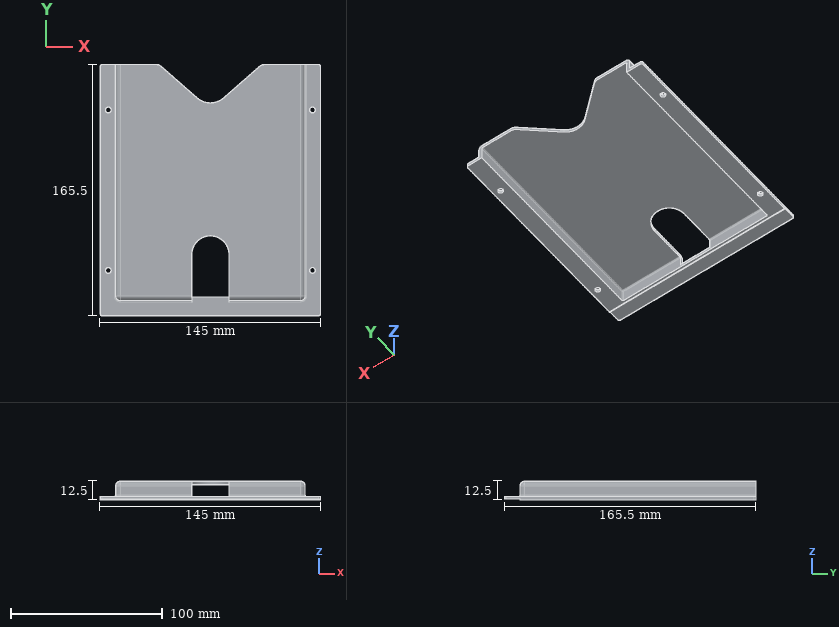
import cadquery as cq

width = 145.0
length = 165.5
height = 12.5
sheet = 2.5

flange_width = 10.1
flange_corner_radius = 1.3
bend_radius = 3.1
inner_bend_radius = bend_radius - sheet
foot_radius = 0.8
front_relief_depth = 0.7

hole_diameter = 3.6
hole_edge_offset = 5.3
hole_end_offset = 30.0

slot_width = 24.3
slot_end = 52.6

notch_half_width = 33.8
notch_apex_depth = 29.6
notch_tip_radius = 13.2
notch_mouth_radius = 5.0

pocket_width = width - 2 * flange_width
cavity_width = pocket_width - 2 * sheet
cavity_front = flange_width + sheet


def rounded_block(block_width, front, top, radius):
    """Block open to the rear edge, rounded on its front and side edges."""
    block = cq.Workplane("XY").box(block_width, length - front, top, centered=(True, False, False))
    block = block.translate((0, front, 0))
    return block.edges("(|Z and <Y) or (>Z and (not >Y))").fillet(radius)


def make_flange():
    plate = cq.Workplane("XY").box(width, length, sheet, centered=(True, False, False))
    return plate.edges("|Z").fillet(flange_corner_radius)


def round_foot(body):
    """Blend the outside of the pocket walls into the flange."""
    half = pocket_width / 2
    margin = foot_radius / 2
    selector = cq.selectors.BoxSelector(
        (-half - margin, flange_width - margin, sheet - margin),
        (half + margin, length + margin, sheet + margin),
    )
    return body.edges(selector).fillet(foot_radius)


def make_front_relief():
    """Shallow step under the front flange, up to the front wall."""
    return cq.Workplane("XY").box(width, flange_width, front_relief_depth, centered=(True, False, False))


def make_slot():
    radius = slot_width / 2
    arc_start = slot_end - radius
    return (
        cq.Workplane("XY", origin=(0, 0, sheet))
        .moveTo(-radius, 0)
        .lineTo(radius, 0)
        .lineTo(radius, arc_start)
        .threePointArc((0, slot_end), (-radius, arc_start))
        .close()
        .extrude(height)
    )


def make_notch():
    """Triangle with a rounded tip, cutting in from the rear edge."""
    triangle = (
        cq.Workplane("XY")
        .polyline([(-notch_half_width, length), (0, length - notch_apex_depth), (notch_half_width, length)])
        .close()
        .extrude(height)
    )
    return triangle.edges("|Z and <Y").fillet(notch_tip_radius)


def round_notch_mouth(body):
    """Round the two corners where the notch meets the rear edge."""
    margin = sheet / 2
    for side in (-1, 1):
        corner_x = side * notch_half_width
        selector = cq.selectors.BoxSelector(
            (corner_x - margin, length - margin, height - sheet - margin),
            (corner_x + margin, length + margin, height + margin),
        )
        body = body.edges(selector).edges("|Z").fillet(notch_mouth_radius)
    return body


def make_holes():
    hole_x = width / 2 - hole_edge_offset
    hole_y = length / 2 - hole_end_offset
    return (
        cq.Workplane("XY", origin=(0, length / 2, 0))
        .rect(2 * hole_x, 2 * hole_y, forConstruction=True)
        .vertices()
        .circle(hole_diameter / 2)
        .extrude(sheet)
    )


pocket = rounded_block(pocket_width, flange_width, height, bend_radius)
cavity = rounded_block(cavity_width, cavity_front, height - sheet, inner_bend_radius)

body = round_foot(make_flange().union(pocket))
body = body.cut(cavity).cut(make_slot()).cut(make_notch()).cut(make_holes())
body = body.cut(make_front_relief())
result = round_notch_mouth(body)